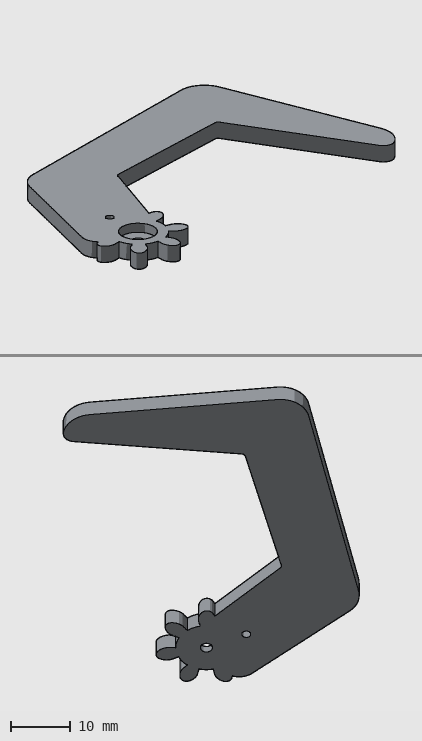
import cadquery as cq
import math

thickness = 3.0

root_radius = 5.1
tip_radius = 8.6
tooth_pitch = 360 / 7
tooth_count = 5
first_tooth_angle = -66.2
root_half_width = 1.1
flank_half_width = 1.4
flank_radius = 6.2
belly_half_width = 1.4
belly_radius = 6.9
tip_half_width = 0.8
shoulder_radius = 8.25

bore_diameter = 2.0
counterbore_diameter = 6.5
counterbore_depth = 1.65
pin_hole_diameter = 1.5
pin_hole_center = (-6.7, -2.95)

elbow_outer = (-54.45, 26.0)
elbow_inner = (-38.05, 24.7)
heel_outer = (-24.85, -12.75)
heel_inner = (-22.4, 2.9)
gear_end_lower = (2.3, -9.3)
gear_end_upper = (-5.1, 3.85)
elbow_outer_radius = 4.8
heel_outer_radius = 4.8
inner_radius = 0.65
gear_end_radius = 3.2

tip_outer_start = (-28.05, 50.2)
tip_top = (-24.3, 51.6)
tip_shoulder = (-22.05, 50.85)
tip_inner_end = (-21.6, 48.05)


def round_corner(body, corner, radius):
    """Fillet the vertical edge standing at a corner of the arm."""
    x, y = corner
    edge = cq.selectors.NearestToPointSelector((x, y, thickness / 2))
    return body.edges("|Z").edges(edge).fillet(radius)


def make_arm():
    body = (
        cq.Workplane("XY")
        .moveTo(*elbow_outer)
        .lineTo(*tip_outer_start)
        .tangentArcPoint(tip_top, relative=False)
        .tangentArcPoint(tip_shoulder, relative=False)
        .tangentArcPoint(tip_inner_end, relative=False)
        .lineTo(*elbow_inner)
        .lineTo(*heel_inner)
        .lineTo(*gear_end_upper)
        .lineTo(gear_end_lower[0], 0)
        .lineTo(*gear_end_lower)
        .lineTo(*heel_outer)
        .close()
        .extrude(thickness)
    )
    body = round_corner(body, elbow_outer, elbow_outer_radius)
    body = round_corner(body, heel_outer, heel_outer_radius)
    body = round_corner(body, elbow_inner, inner_radius)
    body = round_corner(body, heel_inner, inner_radius)
    return round_corner(body, gear_end_lower, gear_end_radius)


def make_tooth(angle):
    """One tooth with straight lower flanks and a rounded head, pointing along +X before it is turned."""
    root_x = math.sqrt(root_radius**2 - root_half_width**2)
    return (
        cq.Workplane("XY")
        .moveTo(0, -root_half_width)
        .lineTo(root_x, -root_half_width)
        .lineTo(flank_radius, -flank_half_width)
        .threePointArc((belly_radius, -belly_half_width), (shoulder_radius, -tip_half_width))
        .threePointArc((tip_radius, 0), (shoulder_radius, tip_half_width))
        .threePointArc((belly_radius, belly_half_width), (flank_radius, flank_half_width))
        .lineTo(root_x, root_half_width)
        .lineTo(0, root_half_width)
        .close()
        .extrude(thickness)
        .rotate((0, 0, 0), (0, 0, 1), angle)
    )


def make_gear():
    gear = cq.Workplane("XY").circle(root_radius).extrude(thickness)
    for index in range(tooth_count):
        gear = gear.union(make_tooth(first_tooth_angle + index * tooth_pitch))
    return gear


def cut_holes(body):
    top = cq.Workplane("XY").workplane(offset=thickness)
    bore = top.circle(bore_diameter / 2).extrude(-thickness)
    counterbore = top.circle(counterbore_diameter / 2).extrude(-counterbore_depth)
    pin_hole = top.center(*pin_hole_center).circle(pin_hole_diameter / 2).extrude(-thickness)
    return body.cut(bore).cut(counterbore).cut(pin_hole)


result = cut_holes(make_arm().union(make_gear()))